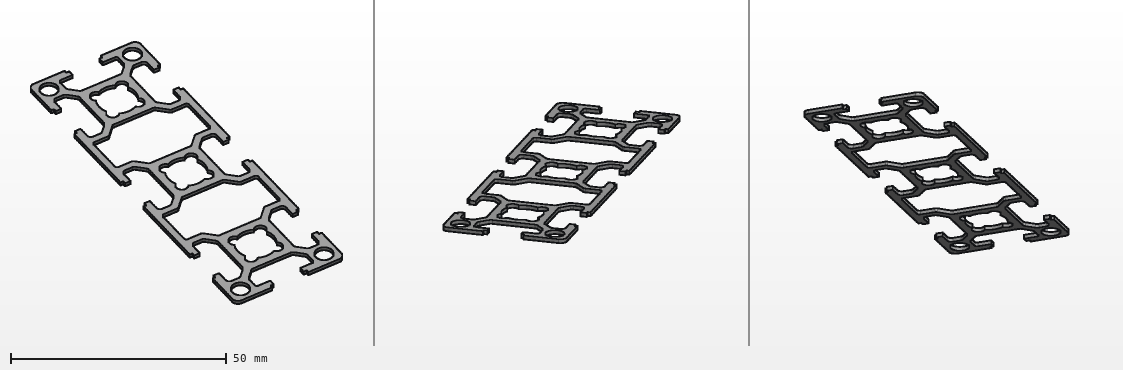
import cadquery as cq
import math

LENGTH = 90.0
CELL_COUNT = 3
PITCH = LENGTH / CELL_COUNT
HALF_CELL = PITCH / 2
THICKNESS = 1.0
CORNER_RADIUS = 1.5

CORE_HALF = 7.0
SLOT_HALF_WIDTH = 8.0
MOUTH_HALF_WIDTH = 4.1
STEP_HALF_WIDTH = 4.95
STEP_DEPTH = 0.7
LIP_THICKNESS = 2.25
LONG_SIDE_SLOT_RADIUS = 1.0
END_SLOT_RADIUS = 0.5
BEND_RADIUS = 1.0

STRUT_THICKNESS = 2.0
STRUT_OFFSET = STRUT_THICKNESS / math.sqrt(2)

CAVITY_SIDE = 9.8
CAVITY_WALL = 1.9
CAVITY_STRUT_OFFSET = 1.3
CAVITY_CORNER_RADIUS = 0.6
CAVITY_BEND_RADIUS = 0.7

BORE_RADIUS = 4.95
RELIEF_RADIUS = 1.5
RELIEF_OFFSET = 3.5

CORNER_HOLE_DIAMETER = 4.5
CORNER_HOLE_INSET = 3.5

CELL_CENTERS = [(i - (CELL_COUNT - 1) / 2) * PITCH for i in range(CELL_COUNT)]
CAVITY_CENTERS = [x + HALF_CELL for x in CELL_CENTERS[:-1]]


def extrude_outline(points):
    return cq.Workplane("XY").polyline(points).close().extrude(THICKNESS)


def round_edges_at(body, points, radius):
    """Round the upright edges of body that stand on the given points."""
    half_box = radius / 10
    for x, y in points:
        selector = cq.selectors.BoxSelector(
            (x - half_box, y - half_box, -THICKNESS),
            (x + half_box, y + half_box, 2 * THICKNESS),
        )
        body = body.edges(selector).fillet(radius)
    return body


def slot_cutter(lip_corner_radius):
    """T-slot open towards +Y, for a cell centred on the origin."""
    lip_y = HALF_CELL - LIP_THICKNESS
    step_y = HALF_CELL - STEP_DEPTH
    floor_corner = (CORE_HALF - STRUT_OFFSET, CORE_HALF)
    side_corner = (SLOT_HALF_WIDTH, SLOT_HALF_WIDTH + STRUT_OFFSET)
    lip_corner = (SLOT_HALF_WIDTH, lip_y)
    right = [
        floor_corner,
        side_corner,
        lip_corner,
        (MOUTH_HALF_WIDTH, lip_y),
        (MOUTH_HALF_WIDTH, step_y),
        (STEP_HALF_WIDTH, step_y),
        (STEP_HALF_WIDTH, HALF_CELL),
    ]
    left = [(-x, y) for x, y in reversed(right)]
    cutter = extrude_outline(right + left)
    for corner, radius in [
        (floor_corner, BEND_RADIUS),
        (side_corner, BEND_RADIUS),
        (lip_corner, lip_corner_radius),
    ]:
        mirrored = (-corner[0], corner[1])
        cutter = round_edges_at(cutter, [corner, mirrored], radius)
    return cutter


def cavity_cutter():
    """Closed cavity between two cells, centred on the origin."""
    wall_y = HALF_CELL - CAVITY_WALL
    narrow_x = HALF_CELL - CAVITY_SIDE
    wide_x = HALF_CELL - CORE_HALF
    corner = (narrow_x, wall_y)
    outer_bend = (narrow_x, CAVITY_SIDE - CAVITY_STRUT_OFFSET)
    inner_bend = (wide_x, CORE_HALF - CAVITY_STRUT_OFFSET)
    upper_right = [corner, outer_bend, inner_bend]
    right = upper_right + [(x, -y) for x, y in reversed(upper_right)]
    left = [(-x, y) for x, y in reversed(right)]
    cutter = extrude_outline(right + left)
    for (x, y), radius in [
        (corner, CAVITY_CORNER_RADIUS),
        (outer_bend, CAVITY_BEND_RADIUS),
        (inner_bend, CAVITY_BEND_RADIUS),
    ]:
        cutter = round_edges_at(cutter, [(x, y), (-x, y), (-x, -y), (x, -y)], radius)
    return cutter


def bore_cutter():
    """Core bore with its four corner reliefs, centred on the origin."""
    bore = cq.Workplane("XY").circle(BORE_RADIUS).extrude(THICKNESS)
    reliefs = (
        cq.Workplane("XY")
        .rect(2 * RELIEF_OFFSET, 2 * RELIEF_OFFSET, forConstruction=True)
        .vertices()
        .circle(RELIEF_RADIUS)
        .extrude(THICKNESS)
    )
    return bore.union(reliefs)


plate = cq.Workplane("XY").rect(LENGTH, PITCH).extrude(THICKNESS).edges("|Z").fillet(CORNER_RADIUS)

hole_spacing_x = LENGTH - 2 * CORNER_HOLE_INSET
hole_spacing_y = PITCH - 2 * CORNER_HOLE_INSET
plate = (
    plate.faces(">Z")
    .workplane(origin=(0, 0, THICKNESS))
    .rect(hole_spacing_x, hole_spacing_y, forConstruction=True)
    .vertices()
    .hole(CORNER_HOLE_DIAMETER)
)

bore = bore_cutter()
upper_slot = slot_cutter(LONG_SIDE_SLOT_RADIUS)
lower_slot = upper_slot.mirror("XZ")
for center_x in CELL_CENTERS:
    for cutter in (bore, upper_slot, lower_slot):
        plate = plate.cut(cutter.translate((center_x, 0, 0)))

end_slot = slot_cutter(END_SLOT_RADIUS)
for center_x, turn in ((CELL_CENTERS[0], 90), (CELL_CENTERS[-1], -90)):
    turned_slot = end_slot.rotate((0, 0, 0), (0, 0, 1), turn)
    plate = plate.cut(turned_slot.translate((center_x, 0, 0)))

cavity = cavity_cutter()
for center_x in CAVITY_CENTERS:
    plate = plate.cut(cavity.translate((center_x, 0, 0)))

result = plate